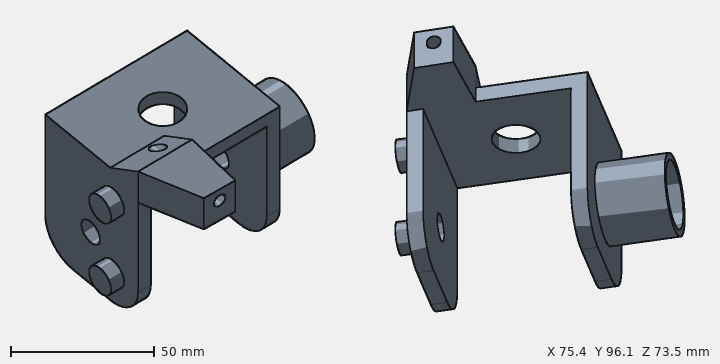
import cadquery as cq
import math

body_width = 50.0
body_depth = 65.0
body_height = 64.3
wall = 6.0
leg_corner_radius = 15.0

cross_hole_x = 24.5
cross_hole_z = 25.2
cross_hole_diameter = 10.0
boss_diameter = 29.7
boss_length = 25.1
boss_bore_diameter = 24.7

top_hole_y = 33.0
top_hole_diameter = 17.0

pin_diameter = 11.9
pin_length = wall
pin_x = 36.6
pin_heights = (14.3, 49.3)

total_height = 73.5
ramp_length = 15.0
arm_depth = 24.8
tip_rear = (75.4, 23.0)
tip_front = (75.1, 8.8)
arm_hole_diameter = 5.1
arm_hole_z = 68.1


def cylinder_along_y(diameter, x, z, y_start, length):
    direction = cq.Vector(0, 1, 0)
    return cq.Workplane(cq.Solid.makeCylinder(diameter / 2, length, cq.Vector(x, y_start, z), direction))


def make_body():
    body = cq.Workplane().box(body_width, body_depth, body_height, centered=False)
    body = body.edges("|Y and <Z").fillet(leg_corner_radius)
    gap = (
        cq.Workplane()
        .box(body_width, body_depth - 2 * wall, body_height - wall, centered=False)
        .translate((0, wall, 0))
    )
    return body.cut(gap)


def make_arm():
    ramp_profile = [
        (body_width - ramp_length, body_height),
        (body_width, total_height),
        (body_width, body_height - wall),
        (body_width - ramp_length, body_height - wall),
    ]
    ramp = cq.Workplane("XZ").polyline(ramp_profile).close().extrude(-arm_depth)
    arm_outline = [(body_width, 0), tip_front, tip_rear, (body_width, arm_depth)]
    arm_bottom = body_height - wall
    arm = (
        cq.Workplane()
        .workplane(offset=arm_bottom)
        .polyline(arm_outline)
        .close()
        .extrude(total_height - arm_bottom)
    )
    return ramp.union(arm)


def make_arm_hole():
    middle_x = (tip_front[0] + tip_rear[0]) / 2
    middle_y = (tip_front[1] + tip_rear[1]) / 2
    skew = math.atan2(tip_rear[0] - tip_front[0], tip_rear[1] - tip_front[1])
    inward = cq.Vector(-math.cos(skew), math.sin(skew), 0)
    middle = cq.Vector(middle_x, middle_y, arm_hole_z)
    start = middle - inward * arm_hole_diameter
    return cq.Workplane(cq.Solid.makeCylinder(arm_hole_diameter / 2, tip_rear[0], start, inward))


result = make_body().union(make_arm())
result = result.union(cylinder_along_y(boss_diameter, cross_hole_x, cross_hole_z, body_depth, boss_length))
for pin_z in pin_heights:
    result = result.union(cylinder_along_y(pin_diameter, pin_x, pin_z, -pin_length, pin_length))

result = result.cut(
    cylinder_along_y(cross_hole_diameter, cross_hole_x, cross_hole_z, 0, body_depth + boss_length)
)
result = result.cut(
    cylinder_along_y(boss_bore_diameter, cross_hole_x, cross_hole_z, body_depth, boss_length)
)
top_hole = (
    cq.Workplane()
    .workplane(offset=body_height - wall)
    .center(cross_hole_x, top_hole_y)
    .circle(top_hole_diameter / 2)
    .extrude(wall)
)
result = result.cut(top_hole).cut(make_arm_hole())